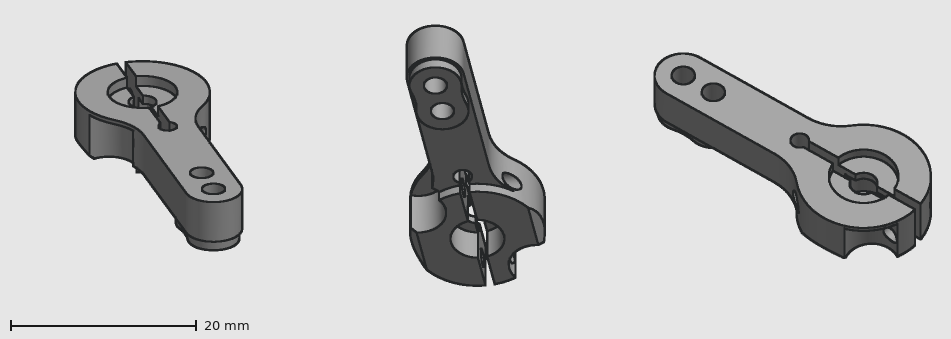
import cadquery as cq
import math


total_height = 6.0
arm_bottom = 1.2

hub_radius = 7.25
hub_chamfer = 1.0
shaft_hole_diameter = 3.0
head_recess_diameter = 7.5
head_recess_depth = 1.2
shaft_bore_diameter = 5.8
shaft_web_thickness = 1.0

arm_half_width = 3.1
neck_radius = 6.0
link_hole_xs = (20.0, 24.0)
link_hole_diameter = 2.5

pad_radius = 2.8
pad_waist_radius = 6.0

slot_width = 1.0
relief_hole_x = 8.5
relief_hole_diameter = 2.0

screw_x = 5.5
screw_z = 2.5
screw_hole_diameter = 2.0
pocket_x = 5.1
pocket_y = 5.5
pocket_radius = 3.0
pocket_height = 5.5


def cylinder(x, y, diameter, bottom, top):
    """Upright cylinder between two heights."""
    return cq.Workplane("XY", origin=(x, y, bottom)).circle(diameter / 2).extrude(top - bottom)


def make_hub():
    """Full-height disc with a flat 45 degree chamfer along the bottom of both Y sides."""
    envelope = (
        cq.Workplane("XY")
        .box(2 * hub_radius, 2 * hub_radius, total_height, centered=(True, True, False))
        .faces("<Z")
        .edges("|X")
        .chamfer(hub_chamfer)
    )
    return cylinder(0, 0, 2 * hub_radius, 0, total_height).intersect(envelope)


def make_arm():
    """Raised arm with a round tip, blended into the hub by concave neck arcs."""
    tip_x = link_hole_xs[-1]
    neck_center_y = arm_half_width + neck_radius
    neck_center_x = math.sqrt((hub_radius + neck_radius) ** 2 - neck_center_y**2)
    hub_share = hub_radius / (hub_radius + neck_radius)
    blend_x = neck_center_x * hub_share
    blend_y = neck_center_y * hub_share
    neck_angle = (math.atan2(-neck_center_y, -neck_center_x) - math.pi / 2) / 2
    middle_x = neck_center_x + neck_radius * math.cos(neck_angle)
    middle_y = neck_center_y + neck_radius * math.sin(neck_angle)
    return (
        cq.Workplane("XY", origin=(0, 0, arm_bottom))
        .moveTo(blend_x, blend_y)
        .threePointArc((middle_x, middle_y), (neck_center_x, arm_half_width))
        .lineTo(tip_x, arm_half_width)
        .threePointArc((tip_x + arm_half_width, 0), (tip_x, -arm_half_width))
        .lineTo(neck_center_x, -arm_half_width)
        .threePointArc((middle_x, -middle_y), (blend_x, -blend_y))
        .threePointArc((-hub_radius, 0), (blend_x, blend_y))
        .close()
        .extrude(total_height - arm_bottom)
    )


def make_pad():
    """Low pad around both link holes, with a concave waist between them."""
    first_x, last_x = link_hole_xs
    half_pitch = (last_x - first_x) / 2
    waist_x = (first_x + last_x) / 2
    waist_center_y = math.sqrt((pad_radius + pad_waist_radius) ** 2 - half_pitch**2)
    pad_share = pad_radius / (pad_radius + pad_waist_radius)
    tangent_offset = half_pitch * pad_share
    tangent_y = waist_center_y * pad_share
    waist_y = waist_center_y - pad_waist_radius
    left_x = first_x + tangent_offset
    right_x = last_x - tangent_offset
    return (
        cq.Workplane("XY")
        .moveTo(left_x, tangent_y)
        .threePointArc((waist_x, waist_y), (right_x, tangent_y))
        .threePointArc((last_x + pad_radius, 0), (right_x, -tangent_y))
        .threePointArc((waist_x, -waist_y), (left_x, -tangent_y))
        .threePointArc((first_x - pad_radius, 0), (left_x, tangent_y))
        .close()
        .extrude(arm_bottom)
    )


def make_slot():
    """Slot from the free edge of the hub through the shaft hole to a round relief hole."""
    slot_length = hub_radius + relief_hole_x
    slot = (
        cq.Workplane("XY", origin=(-hub_radius, 0, 0))
        .box(slot_length, slot_width, total_height, centered=(False, True, False))
    )
    return slot.union(cylinder(relief_hole_x, 0, relief_hole_diameter, 0, total_height))


def make_screw_cut(side):
    """Screw hole along Y and the round head pocket open at the bottom; side is +1 or -1."""
    hole = (
        cq.Workplane("XZ", origin=(side * screw_x, 0, screw_z))
        .circle(screw_hole_diameter / 2)
        .extrude(hub_radius, both=True)
    )
    pocket = cylinder(side * pocket_x, -side * pocket_y, 2 * pocket_radius, 0, pocket_height)
    return hole.union(pocket)


def make_shaft_cut():
    """Screw head recess from the top, shaft bore from the bottom and the hole joining them."""
    recess_floor = total_height - head_recess_depth
    bore_top = recess_floor - shaft_web_thickness
    recess = cylinder(0, 0, head_recess_diameter, recess_floor, total_height)
    bore = cylinder(0, 0, shaft_bore_diameter, 0, bore_top)
    hole = cylinder(0, 0, shaft_hole_diameter, 0, total_height)
    return hole.union(recess).union(bore)


result = make_hub().union(make_arm()).union(make_pad())
result = result.cut(make_shaft_cut())
for link_hole_x in link_hole_xs:
    result = result.cut(cylinder(link_hole_x, 0, link_hole_diameter, 0, total_height))
result = result.cut(make_slot())
for screw_side in (1, -1):
    result = result.cut(make_screw_cut(screw_side))